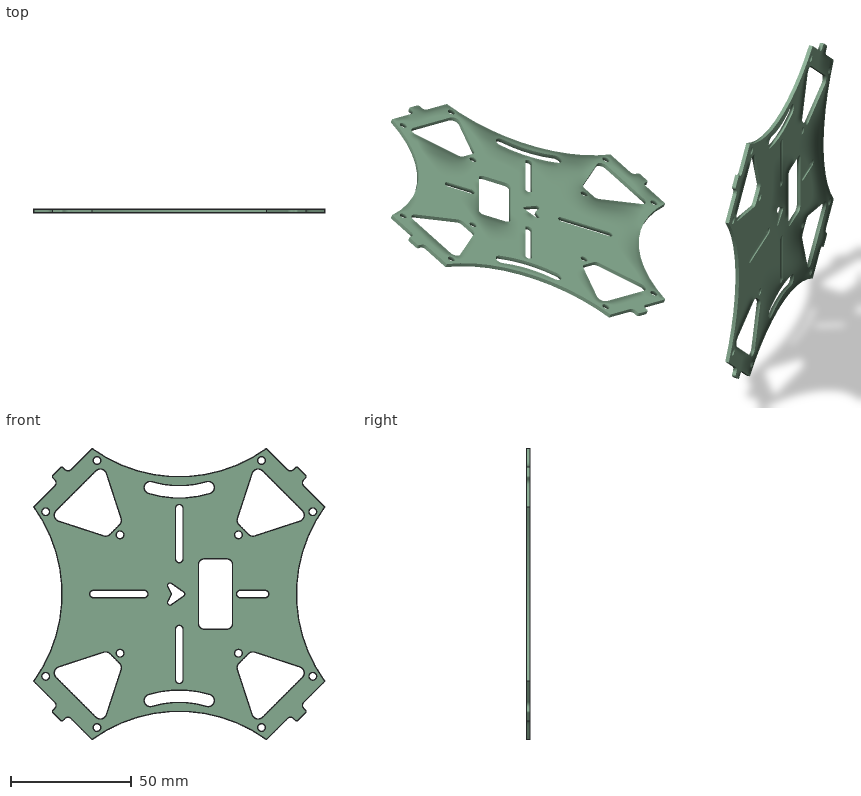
import cadquery as cq
import math

overall_size = 120.48
thickness = 1.6
half_size = overall_size / 2
arm_reach = 68.1
waist = 48.55
corner_short = arm_reach * math.sqrt(2) - half_size

tab_height = 3.65
tab_width = 6.0
tab_tip_radius = 0.8
tab_root_radius = 1.75

window_outer = 60.4
window_inner = 37.75
window_outer_half_width = 15.85
window_inner_half_width = 4.35
window_radius = 2.6

hole_diameter = 3.1
outer_hole_reach = 63.15
outer_hole_spacing = 30.0
inner_hole_offset = 24.5
inner_hole_reach = inner_hole_offset * math.sqrt(2)

slot_width = 3.0
slot_start = 13.0
slot_end = 37.0
short_slot_start = 23.75

curved_slot_width = 5.0
curved_slot_radius = 41.0
curved_slot_middle = 42.25
curved_slot_half_span = 12.0

opening_left = 8.0
opening_width = 14.0
opening_height = 29.0
opening_radius = 2.3

arrow_tip = 3.0
arrow_notch = -3.15
arrow_tail = -6.5
arrow_half_height = 6.65
arrow_radius = 1.0

arm_angles = [45, 135, 225, 315]
long_slot_angles = [90, 180, 270]


def sketch():
    """Workplane on the plate's -Y face, with local x = X and local y = Z."""
    return cq.Workplane("XZ", origin=(0, -thickness / 2, 0))


def prism(outline):
    """Extrude a closed outline through the full thickness, towards +Y."""
    return outline.extrude(-thickness)


def turned(body, angle):
    """Turn a body in the plate plane, from X towards Z."""
    return body.rotate((0, 0, 0), (0, -1, 0), angle)


def plate_blank():
    short = corner_short
    long = half_size
    return prism(
        sketch()
        .moveTo(short, long)
        .threePointArc((0, waist), (-short, long))
        .lineTo(-long, short)
        .threePointArc((-waist, 0), (-long, -short))
        .lineTo(-short, -long)
        .threePointArc((0, -waist), (short, -long))
        .lineTo(long, -short)
        .threePointArc((waist, 0), (long, short))
        .close()
    )


def arm_tab():
    """Tab along local +X with rounded tips and concave fillets at its root."""
    half = tab_width / 2
    tip = arm_reach + tab_height
    root = tab_root_radius
    bend = root * (1 - math.sqrt(0.5))
    tab = prism(
        sketch()
        .moveTo(arm_reach - root, half + root)
        .lineTo(arm_reach, half + root)
        .threePointArc((arm_reach + bend, half + bend), (arm_reach + root, half))
        .lineTo(tip, half)
        .lineTo(tip, -half)
        .lineTo(arm_reach + root, -half)
        .threePointArc((arm_reach + bend, -half - bend), (arm_reach, -half - root))
        .lineTo(arm_reach - root, -half - root)
        .close()
    )
    return tab.faces(">X").edges("|Y").fillet(tab_tip_radius)


def arm_window():
    window = prism(
        sketch().polyline([
            (window_outer, window_outer_half_width),
            (window_outer, -window_outer_half_width),
            (window_inner, -window_inner_half_width),
            (window_inner, window_inner_half_width),
        ]).close()
    )
    return window.edges("|Y").fillet(window_radius)


def arm_holes():
    half = outer_hole_spacing / 2
    centres = [(outer_hole_reach, half), (outer_hole_reach, -half), (inner_hole_reach, 0)]
    return prism(sketch().pushPoints(centres).circle(hole_diameter / 2))


def straight_slot(start, end, angle):
    """Round-ended slot lying on a ray from the plate centre."""
    slot = prism(sketch().center((start + end) / 2, 0).slot2D(end - start, slot_width))
    return turned(slot, angle)


def curved_slot():
    """Slot near +Z, bowed towards the plate centre, with round ends."""
    arc_centre = curved_slot_middle + curved_slot_radius
    half_angle = math.asin(curved_slot_half_span / curved_slot_radius)
    inner = curved_slot_radius - curved_slot_width / 2
    outer = curved_slot_radius + curved_slot_width / 2
    cap_angle = half_angle + curved_slot_width / 2 / curved_slot_radius

    def point(radius, angle):
        return (radius * math.sin(angle), arc_centre - radius * math.cos(angle))

    return prism(
        sketch()
        .moveTo(*point(outer, -half_angle))
        .threePointArc(point(outer, 0), point(outer, half_angle))
        .threePointArc(point(curved_slot_radius, cap_angle), point(inner, half_angle))
        .threePointArc(point(inner, 0), point(inner, -half_angle))
        .threePointArc(point(curved_slot_radius, -cap_angle), point(outer, -half_angle))
        .close()
    )


def opening():
    middle = opening_left + opening_width / 2
    body = prism(sketch().center(middle, 0).rect(opening_width, opening_height))
    return body.edges("|Y").fillet(opening_radius)


def arrow():
    body = prism(
        sketch().polyline([
            (arrow_tip, 0),
            (arrow_tail, arrow_half_height),
            (arrow_notch, 0),
            (arrow_tail, -arrow_half_height),
        ]).close()
    )
    return body.edges("|Y and (>X or <X)").fillet(arrow_radius)


plate = plate_blank()
for arm_angle in arm_angles:
    plate = plate.union(turned(arm_tab(), arm_angle))
    plate = plate.cut(turned(arm_window(), arm_angle))
    plate = plate.cut(turned(arm_holes(), arm_angle))

for slot_angle in long_slot_angles:
    plate = plate.cut(straight_slot(slot_start, slot_end, slot_angle))
plate = plate.cut(straight_slot(short_slot_start, slot_end, 0))

for side_angle in [0, 180]:
    plate = plate.cut(turned(curved_slot(), side_angle))

plate = plate.cut(opening())
result = plate.cut(arrow())